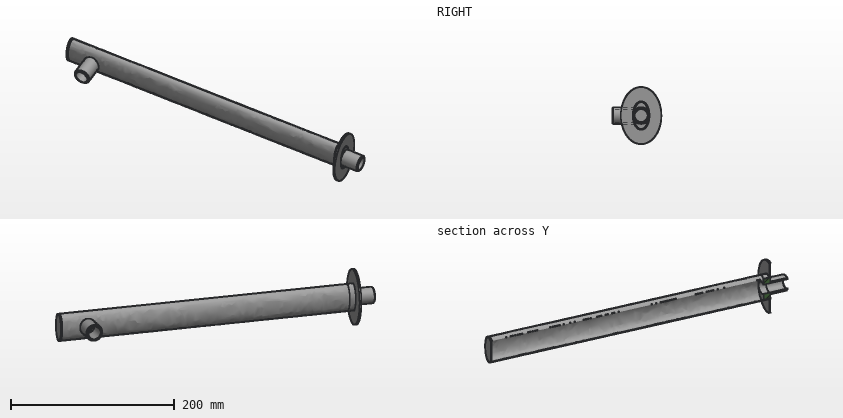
import cadquery as cq

arm_height = 35.0
arm_depth = 20.5
arm_wall = 1.0
front_plug_length = 2.0
back_plug_length = 9.7

flange_height = 70.0
flange_depth = 50.0
flange_thickness = 2.5
flange_face_x = 380.0

overall_length = 405.5
spigot_diameter = 20.5
spigot_bore = 16.0
spigot_chamfer = 1.2
outlet_x = 35.0
outlet_hole = 10.0

arm_length = flange_face_x + flange_thickness
bore_height = arm_height - 2 * arm_wall
bore_depth = arm_depth - 2 * arm_wall
outlet_reach = flange_height / 2
inlet_length = overall_length - arm_length


def ellipse_bar(start_x, end_x, depth, height):
    """Solid bar of elliptical section along X."""
    section = cq.Workplane("YZ").workplane(offset=start_x).ellipse(depth / 2, height / 2)
    return section.extrude(end_x - start_x)


def spigot(length):
    """Bored spigot along +Z from the origin, chamfered round its free end."""
    body = cq.Workplane("XY").circle(spigot_diameter / 2).extrude(length)
    body = body.faces(">Z").chamfer(spigot_chamfer)
    return body.faces(">Z").workplane().circle(spigot_bore / 2).cutThruAll()


arm_envelope = ellipse_bar(0, arm_length, arm_depth, arm_height)
arm_bore = ellipse_bar(0, arm_length, bore_depth, bore_height)
outlet_drill = cq.Workplane("XZ").center(outlet_x, 0).circle(outlet_hole / 2).extrude(arm_depth)
arm = arm_envelope.cut(arm_bore).cut(outlet_drill)

front_plug = ellipse_bar(0, front_plug_length, bore_depth, bore_height)

back_plug = ellipse_bar(arm_length - back_plug_length, arm_length, bore_depth, bore_height)
back_plug = back_plug.faces(">X").workplane().circle(spigot_bore / 2).cutThruAll()

flange = ellipse_bar(flange_face_x, arm_length, flange_depth, flange_height).cut(arm_envelope)

inlet = spigot(inlet_length).rotate((0, 0, 0), (0, 1, 0), 90).translate((arm_length, 0, 0))

outlet = spigot(outlet_reach).rotate((0, 0, 0), (1, 0, 0), 90).translate((outlet_x, 0, 0))
outlet = outlet.cut(arm_envelope)

bodies = [arm, front_plug, back_plug, flange, inlet, outlet]
result = cq.Compound.makeCompound([body.solids().val() for body in bodies])